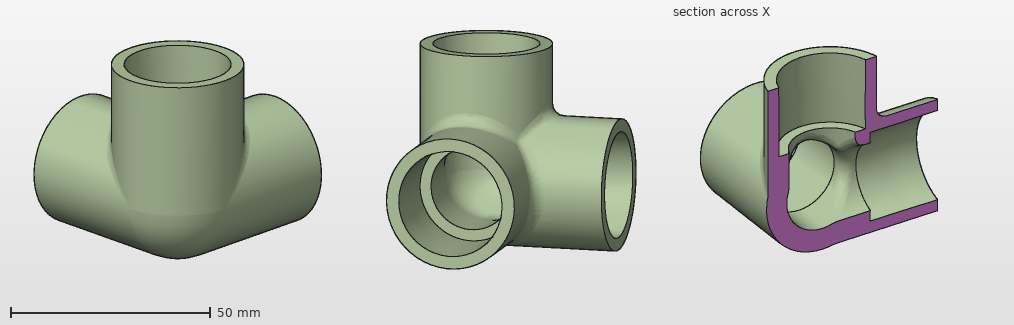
import cadquery as cq

overall_size = 51.0
outer_radius = 16.6
socket_mouth_radius = 13.4
socket_seat_radius = 13.3
bore_radius = 10.45
crotch_fillet = 3.0
bore_fillet = 3.0
socket_depth = 20.0

arm_length = overall_size - outer_radius
arm_directions = [(-1, 0, 0), (0, 1, 0), (0, 0, 1)]


def rod(radius, direction):
    """Solid cylinder from the origin to the open end of an arm."""
    return cq.Solid.makeCylinder(radius, arm_length, cq.Vector(0, 0, 0), cq.Vector(*direction))


def three_way_corner(radius, fillet_radius):
    """Three equal rods meeting in a ball, with the creases between them rounded."""
    corner = cq.Workplane("XY").sphere(radius)
    for direction in arm_directions:
        corner = corner.union(cq.Workplane(obj=rod(radius, direction)))
    creases = [edge for edge in corner.edges().vals() if edge.geomType() == "ELLIPSE"]
    return corner.newObject(creases).fillet(fillet_radius)


body = three_way_corner(outer_radius, crotch_fillet)
passage = three_way_corner(bore_radius, bore_fillet)
result = body.cut(passage)

for direction in arm_directions:
    axis = cq.Vector(*direction)
    seat_centre = axis * (arm_length - socket_depth)
    socket = cq.Solid.makeCone(socket_seat_radius, socket_mouth_radius, socket_depth, seat_centre, axis)
    result = result.cut(cq.Workplane(obj=socket))